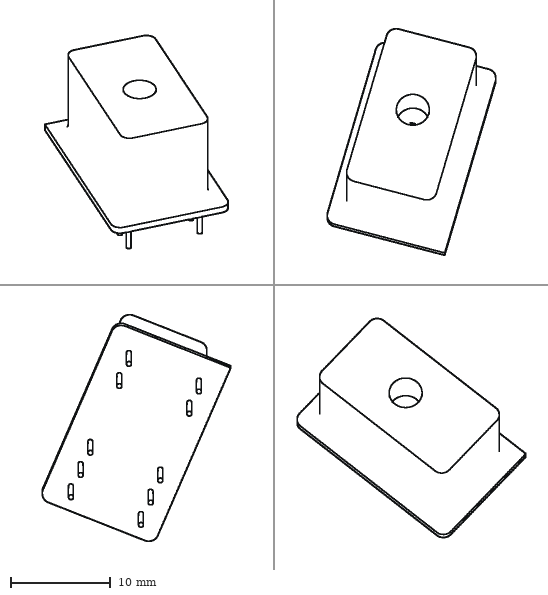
import cadquery as cq

plate_length = 20.12
plate_width = 12.5
plate_thickness = 0.7
corner_radius = 1.0

total_height = 13.72
pin_length = 3.6
cover_length = 16.9
cover_width = 9.32
cover_height = total_height - pin_length - plate_thickness
flare_radius = 1.0

hole_diameter = 3.3
hole_offset_x = 0.5
hole_depth = 4.02
slit_width = 0.1
slit_length = 0.5
slit_depth = 0.2

pin_diameter = 0.5
pin_pitch = 2.54
pin_columns = (-3, -2, 1, 2, 3)
row_spacing = 3 * pin_pitch


def make_plate():
    """Plate with three rounded corners; the (-X, -Y) corner stays square."""
    plate = cq.Workplane("XY").box(
        plate_length, plate_width, plate_thickness, centered=(True, True, False)
    )
    plate = plate.edges("|Z and >X").fillet(corner_radius)
    return plate.edges("|Z and <X and >Y").fillet(corner_radius)


def rounded_block(length, width, height, radius):
    """Block on the plate's top face with rounded vertical edges."""
    return (
        cq.Workplane("XY", origin=(0, 0, plate_thickness))
        .box(length, width, height, centered=(True, True, False))
        .edges("|Z")
        .fillet(radius)
    )


def make_pins():
    """Round pins hanging from the underside of the plate."""
    positions = [
        (column * pin_pitch, side * row_spacing / 2)
        for column in pin_columns
        for side in (-1, 1)
    ]
    return (
        cq.Workplane("XY")
        .pushPoints(positions)
        .circle(pin_diameter / 2)
        .extrude(-pin_length)
    )


cover = rounded_block(cover_length, cover_width, cover_height, corner_radius)
body = make_plate().union(cover)

edge_margin = 0.02
half_length = cover_length / 2 + edge_margin
half_width = cover_width / 2 + edge_margin
foot_edges = cq.selectors.BoxSelector(
    (-half_length, -half_width, plate_thickness - edge_margin),
    (half_length, half_width, plate_thickness + edge_margin),
)
body = body.edges(foot_edges).fillet(flare_radius)

hole = (
    cq.Workplane("XY", origin=(hole_offset_x, 0, plate_thickness + cover_height))
    .circle(hole_diameter / 2)
    .extrude(-hole_depth)
)

slit = (
    cq.Workplane("XY", origin=(hole_offset_x, 0, plate_thickness + cover_height - hole_depth))
    .rect(slit_width, slit_length)
    .extrude(-slit_depth)
)

result = body.cut(hole).cut(slit).union(make_pins())